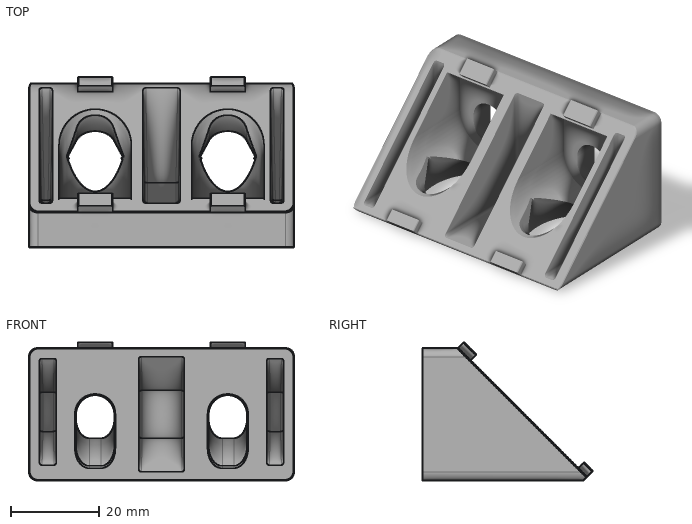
import cadquery as cq
import math

ROOT2 = math.sqrt(2)

WIDTH = 60.0
HEIGHT = 30.0
TOP_DEPTH = 8.13
SLOPE_SUM = TOP_DEPTH + HEIGHT
TOE_Y = 37.29
TOE_Z = SLOPE_SUM - TOE_Y
CUT_LENGTH = SLOPE_SUM
CORNER_RADIUS = 2.0
EDGE_CHAMFER = 0.2

COLUMN_X = 15.0
TAB_WIDTH = 7.9
TAB_OVERHANG = 1.33
TAB_THICKNESS = TAB_OVERHANG * ROOT2
UPPER_TAB_LENGTH = 4.0
LOWER_TAB_LENGTH = 2.8

BOLT_Z = HEIGHT / 2
CLEARANCE_RADIUS = 4.3
SLOT_BOTTOM_Z = 3.1
SLOT_CORNER_RADIUS = 3.0
SLOT_RIM_CHAMFER = 0.3
FRONT_SEAT_Y = 6.5
HEAD_RADIUS = 8.2
HEAD_POCKET_TOP = 26.9

SLOPE_BOLT_OFFSET = 11.9
SLOPE_CLEARANCE_RADIUS = 4.5
SLOPE_HEAD_RADIUS = 7.7
SLOPE_SEAT_SUM = 29.5
FLARE_ANGLE = math.radians(21)
FLARE_END = 4.2

POCKET_FILLET = 0.6
POCKET_DRAFT = 1.5
FRONT_POCKET_DEPTH = 7.6
POCKET_WALL = 2.0
SLOPE_POCKET_Y = 10.1
CENTRE_FRONT_WIDTH = 10.4
CENTRE_FRONT_Z = (2.0, 28.0)
CENTRE_SLOPE_WIDTH = 8.4
CENTRE_SLOPE_BACK_Y = 14.7
SIDE_WALL = 2.35
SIDE_OUTER_X = WIDTH / 2 - SIDE_WALL
SIDE_FRONT_WIDTH = 3.9
SIDE_FRONT_Z = (3.5, 27.6)
SIDE_SLOPE_WIDTH = 3.0
SIDE_SLOPE_BACK_Y = 10.7


def prism(points, width, x=0.0):
    """Extrude a (y, z) outline along X, centred on x."""
    return cq.Workplane("YZ", origin=(x - width / 2, 0, 0)).polyline(points).close().extrude(width)


def slope_plane(coordinate_sum, x):
    """Plane y + z = coordinate_sum: local X runs along -X, local Y uphill, local Z outward."""
    half = coordinate_sum / 2
    return cq.Plane(origin=(x, half, half), xDir=(-1, 0, 0), normal=(0, 1, 1))


def make_body():
    """Wedge with rounded long corners and lightly broken edges."""
    outline = [
        (0, 0),
        (TOE_Y - TOE_Z, 0),
        (TOE_Y, TOE_Z),
        (TOP_DEPTH, HEIGHT),
        (0, HEIGHT),
    ]
    body = prism(outline, WIDTH)
    body = body.edges("|Y").fillet(CORNER_RADIUS)
    body = body.faces("<Y").chamfer(EDGE_CHAMFER)
    return body.faces(">(0, 1, 1)").chamfer(EDGE_CHAMFER)


def make_tab(x, start, length):
    """Tab from `start` uphill over `length`, both measured along the slope from its toe."""
    toe_to_middle = (TOE_Y - TOE_Z) / ROOT2
    middle = start + length / 2 - toe_to_middle
    tab = (
        cq.Workplane(slope_plane(SLOPE_SUM, x))
        .center(0, middle)
        .rect(TAB_WIDTH, length)
        .extrude(TAB_THICKNESS)
        .faces(">(0, 1, 1)")
        .edges("not |X")
        .chamfer(EDGE_CHAMFER)
    )
    foot = EDGE_CHAMFER
    return tab.faces("<(0, 1, 1)").wires().toPending().workplane().extrude(foot)


def make_front_bolt_cut(x):
    """Clearance hole with a rising lower slot, and the head pocket open to the slope."""
    front = cq.Workplane("XZ", origin=(x, 0, 0))
    hole = front.center(0, BOLT_Z).circle(CLEARANCE_RADIUS).extrude(-FRONT_SEAT_Y)
    slot_outline = [
        (0, SLOT_BOTTOM_Z),
        (FRONT_SEAT_Y, SLOT_BOTTOM_Z + FRONT_SEAT_Y),
        (FRONT_SEAT_Y, BOLT_Z),
        (0, BOLT_Z),
    ]
    slot = prism(slot_outline, 2 * CLEARANCE_RADIUS, x)
    slot = slot.faces("<(0, -1, 1)").edges("not |X").fillet(SLOT_CORNER_RADIUS)

    seat = cq.Workplane("XZ", origin=(x, FRONT_SEAT_Y, BOLT_Z))
    pocket_height = HEAD_POCKET_TOP - BOLT_Z
    head = (
        seat.moveTo(-HEAD_RADIUS, pocket_height)
        .lineTo(-HEAD_RADIUS, 0)
        .threePointArc((0, -HEAD_RADIUS), (HEAD_RADIUS, 0))
        .lineTo(HEAD_RADIUS, pocket_height)
        .close()
        .extrude(-CUT_LENGTH)
    )
    return hole.union(slot).union(head)


def chamfer_slot_rim(body, x):
    """Break the edge where a bolt slot meets the front face."""
    reach = CLEARANCE_RADIUS + SLOT_RIM_CHAMFER
    skin = SLOT_RIM_CHAMFER / 2
    rim = cq.selectors.BoxSelector(
        (x - reach, -skin, SLOT_BOTTOM_Z - skin),
        (x + reach, skin, BOLT_Z + reach),
    )
    return body.edges(rim).chamfer(SLOT_RIM_CHAMFER)


def make_slope_bolt_cut(x):
    """Head bore from the bottom up to its seat, then a flared clearance hole."""
    seat = cq.Workplane(slope_plane(SLOPE_SEAT_SUM, x)).center(0, -SLOPE_BOLT_OFFSET)
    bore = seat.circle(SLOPE_HEAD_RADIUS).extrude(-CUT_LENGTH)

    tangent_x = SLOPE_CLEARANCE_RADIUS * math.cos(FLARE_ANGLE)
    tangent_y = -SLOPE_CLEARANCE_RADIUS * math.sin(FLARE_ANGLE)
    wide_x = tangent_x + (FLARE_END - tangent_y) * math.tan(FLARE_ANGLE)
    clearance = (
        seat.moveTo(-wide_x, FLARE_END)
        .lineTo(-tangent_x, tangent_y)
        .threePointArc((0, -SLOPE_CLEARANCE_RADIUS), (tangent_x, tangent_y))
        .lineTo(wide_x, FLARE_END)
        .close()
        .extrude((SLOPE_SUM - SLOPE_SEAT_SUM) / ROOT2)
    )
    return bore.union(clearance)


def make_drafted_slab(plane, width):
    """Slab entering a face at `plane`, its two side walls closing in with the pocket draft."""
    long_enough = 2 * WIDTH
    return cq.Workplane(plane).rect(width, long_enough).extrude(-CUT_LENGTH, taper=POCKET_DRAFT)


def make_front_pocket(x, width, z_range):
    """Pocket in the front face with 45 degree floor and ceiling."""
    bottom, top = z_range
    depth = FRONT_POCKET_DEPTH
    outline = [(0, bottom), (depth, bottom + depth), (depth, top - depth), (0, top)]
    front = cq.Plane(origin=(x, 0, HEIGHT / 2), xDir=(1, 0, 0), normal=(0, -1, 0))
    pocket = prism(outline, width, x).intersect(make_drafted_slab(front, width))
    return pocket.edges("not |X").edges("not <Y").fillet(POCKET_FILLET)


def make_slope_pocket(x, width, back_y):
    """Pocket in the sloping face: level floor, sloping back and upright wall."""
    outline = [
        (SLOPE_SUM - POCKET_WALL, POCKET_WALL),
        (back_y, POCKET_WALL),
        (SLOPE_POCKET_Y, POCKET_WALL + back_y - SLOPE_POCKET_Y),
        (SLOPE_POCKET_Y, SLOPE_SUM - SLOPE_POCKET_Y),
    ]
    pocket = prism(outline, width, x).intersect(make_drafted_slab(slope_plane(SLOPE_SUM, x), width))
    return pocket.edges("not |X").edges("not >(0, 1, 1)").fillet(POCKET_FILLET)


def make_bracket():
    """Body with its tabs, bolt cuts and lightening pockets."""
    body = make_body()
    slope_length = ROOT2 * (TOE_Y - TOP_DEPTH)
    for side in (-1, 1):
        x = side * COLUMN_X
        body = body.cut(make_front_bolt_cut(x)).cut(make_slope_bolt_cut(x))
        body = chamfer_slot_rim(body, x)
        body = body.union(make_tab(x, 0, LOWER_TAB_LENGTH))
        body = body.union(make_tab(x, slope_length - UPPER_TAB_LENGTH, UPPER_TAB_LENGTH))

        front_x = side * (SIDE_OUTER_X - SIDE_FRONT_WIDTH / 2)
        body = body.cut(make_front_pocket(front_x, SIDE_FRONT_WIDTH, SIDE_FRONT_Z))
        slope_x = side * (SIDE_OUTER_X - SIDE_SLOPE_WIDTH / 2)
        body = body.cut(make_slope_pocket(slope_x, SIDE_SLOPE_WIDTH, SIDE_SLOPE_BACK_Y))

    body = body.cut(make_front_pocket(0, CENTRE_FRONT_WIDTH, CENTRE_FRONT_Z))
    return body.cut(make_slope_pocket(0, CENTRE_SLOPE_WIDTH, CENTRE_SLOPE_BACK_Y))


result = make_bracket()